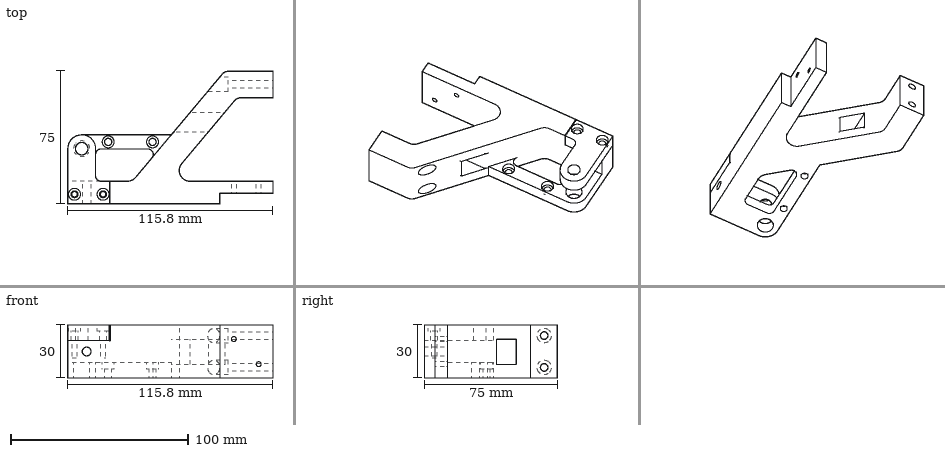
import cadquery as cq
import math

LENGTH = 115.8
WIDTH = 75.0
HEIGHT = 30.0

BAR_WIDTH = 12.9
TONGUE_START_X = 85.8
TONGUE_FRONT_Y = 5.9

ARM_ANGLE = math.radians(50)
ARM_THICKNESS = 15.0
ARM_ROOT_X = 36.5
ARM_HEAD_WIDTH = 15.1
ARM_ROOT_RADIUS = 6.0
ARM_HEAD_RADIUS = 5.0

LUG_WIDTH = 15.8
LUG_RADIUS = LUG_WIDTH / 2
LUG_END_Y = 39.0
PIVOT_Y = LUG_END_Y - LUG_RADIUS
UPPER_PIVOT_DIAMETER = 7.0
LOWER_PIVOT_DIAMETER = 9.0
PLATE_THICKNESS = 8.7
TIE_WIDTH = 8.1
INNER_RADIUS = 3.0

CAP_LENGTH = 23.5
CAP_THICKNESS = 8.8
CAP_BOTTOM_Z = HEIGHT - CAP_THICKNESS
CAP_GAP = 0.3

CAP_SCREW_XS = (3.8, 19.9)
CAP_SCREW_Y = 5.5
TIE_SCREW_XS = (22.8, 47.8)
TIE_SCREW_Y = LUG_END_Y - TIE_WIDTH / 2
SCREW_DIAMETER = 3.9
SCREW_HEAD_DIAMETER = 6.7
SCREW_HEAD_DEPTH = 3.5
TAP_DIAMETER = 3.0
TAP_DEPTH = 10.0

CROSS_HOLE_X = 10.7
CROSS_HOLE_DIAMETER = 4.9
TONGUE_HOLES = ((93.7, 22.0), (107.7, 7.9))
TONGUE_HOLE_DIAMETER = 2.8

HEAD_HOLE_Y = 67.5
HEAD_HOLE_SPACING = 18.0
HEAD_HOLE_DIAMETER = 4.2
HEAD_BORE_DIAMETER = 8.1
HEAD_BORE_FLOOR_X = 90.4

WINDOW_BOTTOM_Y = 40.7
WINDOW_TOP_Y = 51.7
WINDOW_BOTTOM_Z = 7.8
WINDOW_TOP_Z = 21.9
WINDOW_EDGE_RADIUS = 3.9


def arm_left_x(y):
    """X of the arm's left face at a given Y."""
    return ARM_ROOT_X + (y - BAR_WIDTH) / math.tan(ARM_ANGLE)


def arm_right_x(y):
    """X of the arm's right face at a given Y."""
    return arm_left_x(y) + ARM_THICKNESS / math.sin(ARM_ANGLE)


def box(x0, x1, y0, y1, z0, z1):
    return cq.Workplane("XY").box(x1 - x0, y1 - y0, z1 - z0, centered=False).translate((x0, y0, z0))


def hole_z(x, y, diameter, z0, z1):
    return cq.Workplane("XY", origin=(x, y, z0)).circle(diameter / 2).extrude(z1 - z0)


def hole_y(x, z, diameter, depth):
    return cq.Workplane("XZ", origin=(x, 0, z)).circle(diameter / 2).extrude(-depth)


def hole_x(y, z, diameter, x0, x1):
    return cq.Workplane("YZ", origin=(x0, y, z)).circle(diameter / 2).extrude(x1 - x0)


def fillet_at(body, x, y, radius):
    """Round the vertical edge at (x, y)."""
    reach = 0.06
    corner = cq.selectors.BoxSelector(
        (x - reach, y - reach, -HEIGHT), (x + reach, y + reach, 2 * HEIGHT), boundingbox=False
    )
    return body.edges(corner).edges("|Z").fillet(radius)


def make_frame():
    """Full-height bar, tongue and inclined arm."""
    head_y = WIDTH - ARM_HEAD_WIDTH
    corners = [
        (arm_left_x(BAR_WIDTH), BAR_WIDTH, ARM_ROOT_RADIUS),
        (arm_left_x(WIDTH), WIDTH, ARM_HEAD_RADIUS),
        (arm_right_x(head_y), head_y, ARM_HEAD_RADIUS),
        (arm_right_x(BAR_WIDTH), BAR_WIDTH, ARM_ROOT_RADIUS),
    ]
    left_root, left_head, right_head, right_root = [(x, y) for x, y, _ in corners]
    frame = (
        cq.Workplane("XY")
        .polyline([
            (0, 0), (TONGUE_START_X, 0), (TONGUE_START_X, TONGUE_FRONT_Y), (LENGTH, TONGUE_FRONT_Y),
            (LENGTH, BAR_WIDTH), right_root, right_head, (LENGTH, head_y),
            (LENGTH, WIDTH), left_head, left_root, (0, BAR_WIDTH),
        ])
        .close()
        .extrude(HEIGHT)
    )
    for x, y, radius in corners:
        frame = fillet_at(frame, x, y, radius)
    return frame


def make_lower_plate():
    """Lower clevis lug joined to the arm by the tie strip, around a rounded opening."""
    outline = (
        cq.Workplane("XY")
        .polyline([
            (0, 0), (arm_left_x(0), 0), (arm_left_x(LUG_END_Y), LUG_END_Y), (0, LUG_END_Y),
        ])
        .close()
        .extrude(PLATE_THICKNESS)
    )
    outline = fillet_at(outline, 0, LUG_END_Y, LUG_RADIUS)
    tie_y = LUG_END_Y - TIE_WIDTH
    opening = (
        cq.Workplane("XY")
        .polyline([
            (LUG_WIDTH, BAR_WIDTH), (arm_left_x(BAR_WIDTH), BAR_WIDTH),
            (arm_left_x(tie_y), tie_y), (LUG_WIDTH, tie_y),
        ])
        .close()
        .extrude(PLATE_THICKNESS)
    )
    opening = fillet_at(opening, arm_left_x(BAR_WIDTH), BAR_WIDTH, ARM_ROOT_RADIUS)
    for x, y in ((LUG_WIDTH, BAR_WIDTH), (LUG_WIDTH, tie_y), (arm_left_x(tie_y), tie_y)):
        opening = fillet_at(opening, x, y, INNER_RADIUS)
    plate = outline.cut(opening)
    plate = plate.cut(hole_z(LUG_RADIUS, PIVOT_Y, LOWER_PIVOT_DIAMETER, 0, PLATE_THICKNESS))
    for x in TIE_SCREW_XS:
        plate = plate.cut(hole_z(x, TIE_SCREW_Y, SCREW_DIAMETER, 0, PLATE_THICKNESS))
        head_floor = PLATE_THICKNESS - SCREW_HEAD_DEPTH
        plate = plate.cut(hole_z(x, TIE_SCREW_Y, SCREW_HEAD_DIAMETER, head_floor, PLATE_THICKNESS))
    return plate


def make_window():
    """Cutter for the arm window, flared where its floor rounds into the arm's left face."""
    window = box(0, LENGTH, WINDOW_BOTTOM_Y, WINDOW_TOP_Y, WINDOW_BOTTOM_Z, WINDOW_TOP_Z)
    corner_x = arm_left_x(WINDOW_BOTTOM_Y)
    setback = WINDOW_EDGE_RADIUS * math.tan(ARM_ANGLE / 2)
    face_point = (corner_x - setback * math.cos(ARM_ANGLE), WINDOW_BOTTOM_Y - setback * math.sin(ARM_ANGLE))
    floor_point = (corner_x + setback, WINDOW_BOTTOM_Y)
    center_x = corner_x + setback
    center_y = WINDOW_BOTTOM_Y - WINDOW_EDGE_RADIUS
    arc_middle = (
        center_x - WINDOW_EDGE_RADIUS * math.sin(ARM_ANGLE / 2),
        center_y + WINDOW_EDGE_RADIUS * math.cos(ARM_ANGLE / 2),
    )
    flare = (
        cq.Workplane("XY", origin=(0, 0, WINDOW_BOTTOM_Z))
        .moveTo(*face_point)
        .threePointArc(arc_middle, floor_point)
        .lineTo(corner_x, WINDOW_BOTTOM_Y)
        .close()
        .extrude(WINDOW_TOP_Z - WINDOW_BOTTOM_Z)
    )
    return window.union(flare)


def make_bracket():
    bracket = make_frame().union(make_lower_plate())
    bracket = bracket.cut(box(0, CAP_LENGTH + CAP_GAP, 0, BAR_WIDTH, CAP_BOTTOM_Z, HEIGHT))
    for x in CAP_SCREW_XS:
        bracket = bracket.cut(hole_z(x, CAP_SCREW_Y, TAP_DIAMETER, CAP_BOTTOM_Z - TAP_DEPTH, CAP_BOTTOM_Z))
    bracket = bracket.cut(hole_y(CROSS_HOLE_X, HEIGHT / 2, CROSS_HOLE_DIAMETER, BAR_WIDTH))
    for x, z in TONGUE_HOLES:
        bracket = bracket.cut(hole_y(x, z, TONGUE_HOLE_DIAMETER, BAR_WIDTH))
    for side in (-1, 1):
        z = HEIGHT / 2 + side * HEAD_HOLE_SPACING / 2
        bracket = bracket.cut(hole_x(HEAD_HOLE_Y, z, HEAD_HOLE_DIAMETER, 0, LENGTH))
        bracket = bracket.cut(hole_x(HEAD_HOLE_Y, z, HEAD_BORE_DIAMETER, 0, HEAD_BORE_FLOOR_X))
    return bracket.cut(make_window())


def make_cap():
    """L-shaped upper clevis lug, screwed onto the bracket."""
    cap = box(0, CAP_LENGTH, 0, BAR_WIDTH, CAP_BOTTOM_Z, HEIGHT)
    cap = cap.union(box(0, LUG_WIDTH, 0, LUG_END_Y - LUG_RADIUS, CAP_BOTTOM_Z, HEIGHT))
    cap = fillet_at(cap, LUG_WIDTH, BAR_WIDTH, INNER_RADIUS)
    cap = cap.union(hole_z(LUG_RADIUS, PIVOT_Y, LUG_WIDTH, CAP_BOTTOM_Z, HEIGHT))
    cap = cap.cut(hole_z(LUG_RADIUS, PIVOT_Y, UPPER_PIVOT_DIAMETER, CAP_BOTTOM_Z, HEIGHT))
    for x in CAP_SCREW_XS:
        cap = cap.cut(hole_z(x, CAP_SCREW_Y, SCREW_DIAMETER, CAP_BOTTOM_Z, HEIGHT))
        cap = cap.cut(hole_z(x, CAP_SCREW_Y, SCREW_HEAD_DIAMETER, HEIGHT - SCREW_HEAD_DEPTH, HEIGHT))
    return cap


bracket = make_bracket()
cap = make_cap()
result = cq.Compound.makeCompound([bracket.val(), cap.val()])